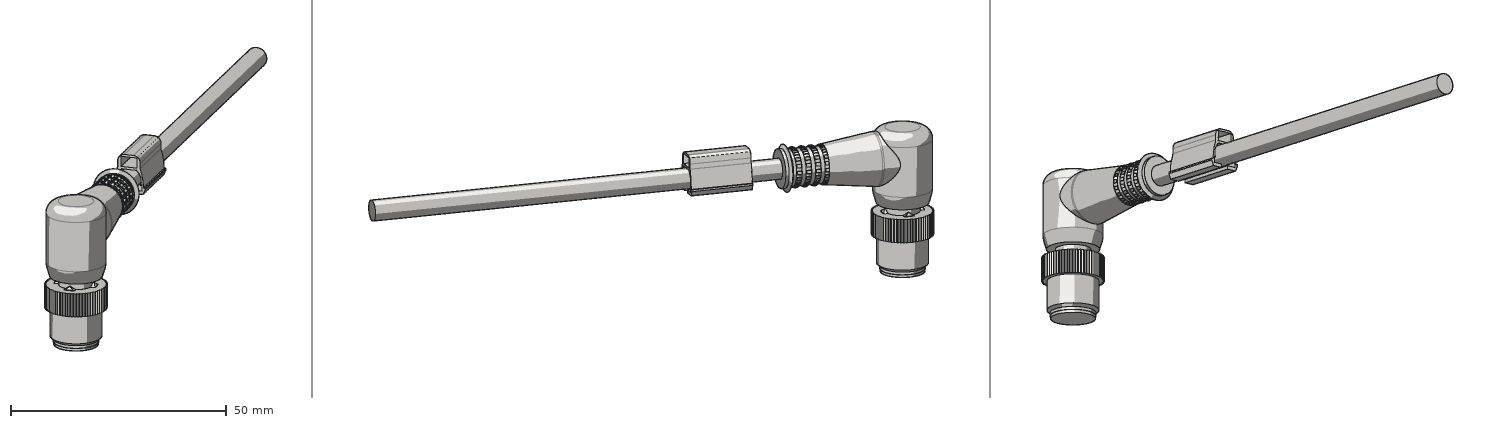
import cadquery as cq
import math


CABLE_RADIUS = 2.5
CABLE_END_Y = 130.0

ELBOW_RADIUS = 7.0
ELBOW_TOP_Z = 7.1
ELBOW_TOP_FILLET = 2.9
ELBOW_TAPER_TOP_Z = -7.8
ELBOW_BOTTOM_Z = -11.1
ELBOW_BOTTOM_RADIUS = 6.2
ELBOW_TAPER_MID_RADIUS = 6.7

BOOT_END_Y = 30.2
STUB_RADIUS = 6.5
STUB_END_Y = 6.9
STUB_BLEND_RADIUS = 3.0
CONE_END_Y = 19.5
CONE_END_RADIUS = 4.8
GROOVE_RADIUS = 4.4
RIDGE_RADIUS = 4.8
RIDGE_WIDTH = 1.4
RIDGE_PITCH = 2.3
FIRST_RIDGE_Y = 19.8
RIDGE_COUNT = 4
NOTCH_COUNT = 18
NOTCH_WIDTH = 0.8
NOTCH_DEPTH = 0.3
COLLAR_RADIUS = 4.7
FLANGE_RADIUS = 5.6
FLANGE_Y = 28.8
FLANGE_WIDTH = 1.1

NUT_TOP_Z = -13.2
KNURL_BOTTOM_Z = -18.8
KNURL_RADIUS = 7.3
KNURL_DEPTH = 0.3
KNURL_COUNT = 64
THREAD_RADIUS = 6.0
THREAD_BOTTOM_Z = -26.5
TIP_RADIUS = 5.4
NUT_BOTTOM_Z = -27.2
TOOTH_COUNT = 4
TOOTH_HEIGHT = 0.8
TOOTH_WIDTH = 2.5
TOOTH_OUTER_RADIUS = 5.1
TOOTH_CHAMFER = 0.7

NECK_RADIUS = 4.1
FACE_RADIUS = 5.2
FACE_BOTTOM_Z = -27.9

SLEEVE_START_Y = 38.0
SLEEVE_LENGTH = 15.0
SLEEVE_TOP_Z = 6.0
SLEEVE_TOP_HALF = 1.1
HEAD_HALF = 2.7
HEAD_SHOULDER_Z = 4.3
WAIST_Z = 3.0
SIDE_MID_HALF = 3.3
SIDE_MID_Z = 1.0
SIDE_BOTTOM_HALF = 3.6
LIP_HALF = 4.0
LIP_TOP_Z = -1.6
LIP_BOTTOM_Z = -2.0
SLEEVE_BOTTOM_Z = -3.3
SLEEVE_BOTTOM_HALF = 3.5
WINDOW_BOTTOM_Z = 3.0
WINDOW_TOP_Z = 5.5
WINDOW_HALF = 1.9
CAVITY_RADIUS = 3.0
TROUGH_HALF = 3.2
TROUGH_TOP_Z = -1.1
MOUTH_HALF = 1.0


def cylinder_z(radius, bottom_z, top_z):
    return cq.Workplane("XY").workplane(offset=bottom_z).circle(radius).extrude(top_z - bottom_z)


def cylinder_y(radius, start_y, end_y):
    return cq.Workplane("XZ", origin=(0, start_y, 0)).circle(radius).extrude(start_y - end_y)


def revolve_about_y(outline):
    """Revolve a closed XY outline about the Y axis."""
    return outline.close().revolve(360, (0, 0, 0), (0, 1, 0))


def make_cable():
    return cylinder_y(CABLE_RADIUS, STUB_END_Y, CABLE_END_Y)


def make_elbow_body():
    taper_mid_z = (ELBOW_TAPER_TOP_Z + ELBOW_BOTTOM_Z) / 2
    outline = (
        cq.Workplane("XZ")
        .moveTo(0, ELBOW_BOTTOM_Z)
        .lineTo(ELBOW_BOTTOM_RADIUS, ELBOW_BOTTOM_Z)
        .threePointArc((ELBOW_TAPER_MID_RADIUS, taper_mid_z), (ELBOW_RADIUS, ELBOW_TAPER_TOP_Z))
        .lineTo(ELBOW_RADIUS, ELBOW_TOP_Z)
        .lineTo(0, ELBOW_TOP_Z)
        .close()
    )
    body = outline.revolve(360, (0, 0, 0), (0, 1, 0))
    return body.faces(">Z").edges().fillet(ELBOW_TOP_FILLET)


def make_boot():
    outline = (
        cq.Workplane("XY")
        .lineTo(STUB_RADIUS, 0)
        .lineTo(STUB_RADIUS, STUB_END_Y)
        .lineTo(CONE_END_RADIUS, CONE_END_Y)
        .lineTo(GROOVE_RADIUS, CONE_END_Y)
        .lineTo(GROOVE_RADIUS, FLANGE_Y)
        .lineTo(COLLAR_RADIUS, FLANGE_Y)
        .lineTo(COLLAR_RADIUS, BOOT_END_Y)
        .lineTo(0, BOOT_END_Y)
    )
    boot = revolve_about_y(outline)
    stub_rim = cq.selectors.NearestToPointSelector((0, STUB_END_Y, 0))
    return boot.edges(stub_rim).fillet(STUB_BLEND_RADIUS)


def make_ridge(center_y):
    """Rounded ring around the boot, crossed by evenly spaced notches."""
    outline = (
        cq.Workplane("XY")
        .moveTo(0, center_y - RIDGE_WIDTH / 2)
        .lineTo(GROOVE_RADIUS, center_y - RIDGE_WIDTH / 2)
        .threePointArc((RIDGE_RADIUS, center_y), (GROOVE_RADIUS, center_y + RIDGE_WIDTH / 2))
        .lineTo(0, center_y + RIDGE_WIDTH / 2)
    )
    ridge = revolve_about_y(outline)
    notch = cq.Workplane("XY").box(2 * NOTCH_DEPTH, RIDGE_WIDTH, NOTCH_WIDTH)
    notch = notch.translate((RIDGE_RADIUS, center_y, 0))
    for index in range(NOTCH_COUNT):
        angle = 360 * index / NOTCH_COUNT
        ridge = ridge.cut(notch.rotate((0, 0, 0), (0, 1, 0), angle))
    return ridge


def make_flange():
    """Sharp-edged ring near the open end of the boot."""
    outline = (
        cq.Workplane("XY")
        .moveTo(0, FLANGE_Y - FLANGE_WIDTH / 2)
        .lineTo(COLLAR_RADIUS, FLANGE_Y - FLANGE_WIDTH / 2)
        .lineTo(FLANGE_RADIUS, FLANGE_Y)
        .lineTo(COLLAR_RADIUS, FLANGE_Y + FLANGE_WIDTH / 2)
        .lineTo(0, FLANGE_Y + FLANGE_WIDTH / 2)
    )
    return revolve_about_y(outline)


def make_housing(cable):
    housing = make_elbow_body().union(make_boot()).union(make_flange())
    for index in range(RIDGE_COUNT):
        housing = housing.union(make_ridge(FIRST_RIDGE_Y + index * RIDGE_PITCH))
    return housing.cut(cable)


def make_knurl():
    """Ring of V-shaped teeth running along Z."""
    points = []
    for index in range(2 * KNURL_COUNT):
        radius = KNURL_RADIUS - KNURL_DEPTH * (index % 2)
        angle = math.pi * index / KNURL_COUNT
        points.append((radius * math.cos(angle), radius * math.sin(angle)))
    ring = cq.Workplane("XY").workplane(offset=KNURL_BOTTOM_Z).polyline(points).close()
    return ring.extrude(NUT_TOP_Z - KNURL_BOTTOM_Z)


def make_ratchet_tooth(angle):
    """Triangular tooth, sloped on its outer end, standing on the top of the nut."""
    tooth = (
        cq.Workplane("YZ")
        .moveTo(-TOOTH_WIDTH / 2, NUT_TOP_Z)
        .lineTo(0, NUT_TOP_Z + TOOTH_HEIGHT)
        .lineTo(TOOTH_WIDTH / 2, NUT_TOP_Z)
        .close()
        .extrude(TOOTH_OUTER_RADIUS)
    )
    envelope = cylinder_z(TOOTH_OUTER_RADIUS, NUT_TOP_Z, NUT_TOP_Z + TOOTH_HEIGHT)
    tooth = tooth.intersect(envelope.faces(">Z").edges().chamfer(TOOTH_CHAMFER))
    return tooth.rotate((0, 0, 0), (0, 0, 1), angle)


def make_coupling_nut(insert):
    thread = cylinder_z(THREAD_RADIUS, THREAD_BOTTOM_Z, KNURL_BOTTOM_Z)
    thread = thread.faces("<Z").edges().chamfer(THREAD_RADIUS - TIP_RADIUS)
    tip = cylinder_z(TIP_RADIUS, NUT_BOTTOM_Z, THREAD_BOTTOM_Z)
    nut = make_knurl().union(thread).union(tip)
    for index in range(TOOTH_COUNT):
        nut = nut.union(make_ratchet_tooth(360 * index / TOOTH_COUNT))
    return nut.cut(insert)


def make_contact_insert():
    neck = cylinder_z(NECK_RADIUS, NUT_BOTTOM_Z, ELBOW_BOTTOM_Z)
    face = cylinder_z(FACE_RADIUS, FACE_BOTTOM_Z, NUT_BOTTOM_Z)
    return neck.union(face)


def channel(half_width, bottom_z, top_z):
    """Rectangular bar along the whole length of the marker sleeve."""
    height = top_z - bottom_z
    bar = cq.Workplane("XY").box(2 * half_width, SLEEVE_LENGTH, height, centered=(True, False, False))
    return bar.translate((0, SLEEVE_START_Y, bottom_z))


def make_marker_sleeve():
    outline = (
        cq.Workplane("XZ", origin=(0, SLEEVE_START_Y, 0))
        .moveTo(0, SLEEVE_TOP_Z)
        .lineTo(-SLEEVE_TOP_HALF, SLEEVE_TOP_Z)
        .tangentArcPoint((-HEAD_HALF, HEAD_SHOULDER_Z), relative=False)
        .lineTo(-HEAD_HALF, WAIST_Z)
        .threePointArc((-SIDE_MID_HALF, SIDE_MID_Z), (-SIDE_BOTTOM_HALF, LIP_TOP_Z))
        .lineTo(-LIP_HALF, LIP_TOP_Z)
        .lineTo(-LIP_HALF, LIP_BOTTOM_Z)
        .lineTo(-SLEEVE_BOTTOM_HALF, SLEEVE_BOTTOM_Z)
        .lineTo(0, SLEEVE_BOTTOM_Z)
        .mirrorY()
    )
    sleeve = outline.extrude(-SLEEVE_LENGTH)

    window = channel(WINDOW_HALF, WINDOW_BOTTOM_Z, WINDOW_TOP_Z)
    cavity = cylinder_y(CAVITY_RADIUS, SLEEVE_START_Y, SLEEVE_START_Y + SLEEVE_LENGTH)
    cavity = cavity.intersect(channel(CAVITY_RADIUS, -CABLE_RADIUS, CABLE_RADIUS))
    trough = channel(TROUGH_HALF, -CABLE_RADIUS, TROUGH_TOP_Z)
    mouth = channel(MOUTH_HALF, SLEEVE_BOTTOM_Z, TROUGH_TOP_Z)
    return sleeve.cut(window).cut(cavity).cut(trough).cut(mouth)


cable = make_cable()
housing = make_housing(cable)
contact_insert = make_contact_insert()
coupling_nut = make_coupling_nut(contact_insert)
marker_sleeve = make_marker_sleeve()

result = cq.Compound.makeCompound([
    cable.val(),
    housing.val(),
    contact_insert.val(),
    coupling_nut.val(),
    marker_sleeve.val(),
])